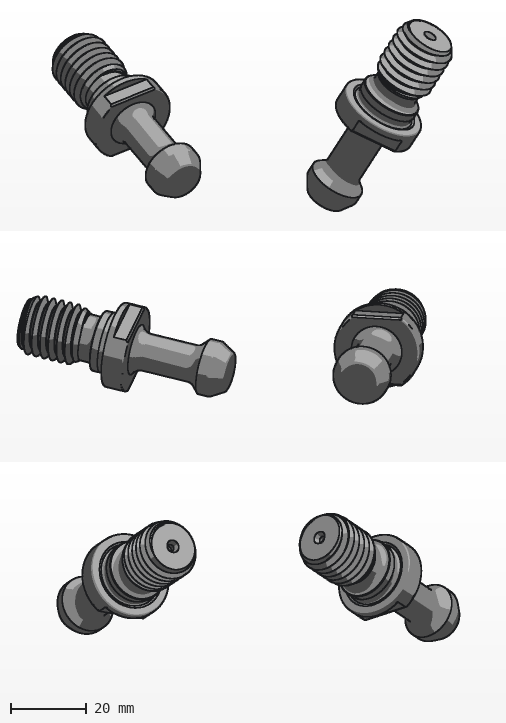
import cadquery as cq
import math

length = 57.15

thread_radius = 8.05
root_radius = 6.3
thread_end = 17.25
five_turns = 11.55
pitch = five_turns / 5
first_crest = 1.15
crest_half_width = 0.03
flank_angle = math.radians(30)
runout_slope = math.tan(math.radians(32))
start_land = 0.2
root_overlap = 0.1

relief_end = 19.2
collar_start = 20.75
collar_radius = 8.2
collar_edge = 0.2
collar_end = 23.0
groove_start = 24.0
groove_radius = 7.9
groove_fillet = 3.7

flange_start = 25.05
flange_end = 31.05
flange_middle = (flange_start + flange_end) / 2
flange_radius = 11.5
flange_edge = 0.5
recess_radius = 9.2
recess_floor_radius = 8.6
recess_depth = 0.25
undercut_start = 24.7
flat_start = 27.0
flat_distance = 9.5

neck_radius = 5.05
neck_start = 34.1
neck_flare_radius = 6.8
neck_end = 46.7
head_fillet = 2.7
head_start = 50.3
head_radius = 7.55
head_cylinder_end = 53.25
head_tip_radius = 5.3
shoulder_fillet = 0.85
tip_fillet = 0.8

center_radius = 1.7
drill_radius = 0.9
drill_end = 2.85
countersink_angle = math.radians(30)
drill_tip_angle = math.radians(59)


def arc_through(start, end, radius, side):
    """Midpoint of the arc from start to end; side = 1 bulges left of the chord, -1 right."""
    dx = end[0] - start[0]
    dr = end[1] - start[1]
    chord = math.hypot(dx, dr)
    rise = radius - math.sqrt(radius**2 - (chord / 2)**2)
    mid_x = (start[0] + end[0]) / 2 - side * rise * dr / chord
    mid_r = (start[1] + end[1]) / 2 + side * rise * dx / chord
    return mid_x, mid_r


def turn(profile):
    return profile.close().revolve(360, (0, 0, 0), (1, 0, 0))


def make_thread():
    """Right-handed V ridge, trimmed by an envelope that tapers at both ends."""
    inner_radius = root_radius - root_overlap
    half_base = crest_half_width + (thread_radius - inner_radius) * math.tan(flank_angle)
    helix_start = first_crest - 2 * pitch
    helix_length = thread_end - helix_start + pitch
    path = cq.Wire.makeHelix(pitch, helix_length, root_radius)
    ridge = (
        cq.Workplane("XZ")
        .polyline([
            (inner_radius, -half_base),
            (thread_radius, -crest_half_width),
            (thread_radius, crest_half_width),
            (inner_radius, half_base),
        ])
        .close()
        .sweep(cq.Workplane(path), isFrenet=True)
        .rotate((0, 0, 0), (1, 1, 1), 120)
        .translate((helix_start, 0, 0))
    )
    crest_limit = thread_radius + root_overlap
    start_taper = (crest_limit - root_radius - start_land) / runout_slope
    end_taper = (crest_limit - inner_radius + root_overlap) / runout_slope
    envelope = turn(cq.Workplane("XY").polyline([
        (0, 0),
        (0, root_radius + start_land),
        (start_taper, crest_limit),
        (thread_end - end_taper, crest_limit),
        (thread_end, inner_radius - root_overlap),
        (thread_end, 0),
    ]))
    return ridge.intersect(envelope)


def make_shank():
    """Thread core, relief, collar and the groove that runs into the flange face."""
    collar_corner = (collar_start, collar_radius - collar_edge)
    relief_corner = (relief_end, root_radius)
    relief_fillet = collar_corner[1] - root_radius
    collar_corner_end = (collar_end, collar_radius)
    groove_corner = (groove_start, groove_radius)
    undercut_corner = (undercut_start, groove_radius)
    floor_corner = (flange_start + recess_depth, recess_floor_radius)
    undercut_fillet = recess_floor_radius - groove_radius
    profile = (
        cq.Workplane("XY")
        .moveTo(0, 0)
        .lineTo(0, root_radius)
        .lineTo(*relief_corner)
        .threePointArc(arc_through(relief_corner, collar_corner, relief_fillet, -1), collar_corner)
        .lineTo(collar_start + collar_edge, collar_radius)
        .lineTo(*collar_corner_end)
        .threePointArc(
            arc_through(collar_corner_end, groove_corner, groove_fillet, -1), groove_corner
        )
        .lineTo(*undercut_corner)
        .threePointArc(arc_through(undercut_corner, floor_corner, undercut_fillet, -1), floor_corner)
        .lineTo(flange_middle, recess_floor_radius)
        .lineTo(flange_middle, 0)
    )
    return turn(profile)


def make_flange():
    thickness = flange_end - flange_start
    flange = cq.Workplane("YZ", origin=(flange_start, 0, 0)).circle(flange_radius).extrude(thickness)
    flange = flange.edges("%CIRCLE").fillet(flange_edge)
    for side in (-1, 1):
        waste = (
            cq.Workplane("XZ")
            .polyline([
                (flat_start, side * flange_radius),
                (flat_start, side * flat_distance),
                (flange_end - flange_edge, side * flat_distance),
                (flange_end, side * (flat_distance - flange_edge)),
                (flange_end, side * flange_radius),
            ])
            .close()
            .extrude(flange_radius, both=True)
        )
        flange = flange.cut(waste)
    recess = turn(cq.Workplane("XY").polyline([
        (flange_start, 0),
        (flange_start, recess_radius),
        (flange_start + recess_depth, recess_floor_radius),
        (flange_start + recess_depth, 0),
    ]))
    return flange.cut(recess)


def make_neck_and_head():
    flare_run = neck_start - flange_end
    flare_rise = neck_flare_radius - neck_radius
    flare_fillet = (flare_run**2 + flare_rise**2) / (2 * flare_rise)
    flare_corner = (flange_end, neck_flare_radius)
    neck_corner = (neck_start, neck_radius)
    quarter = math.sin(math.radians(45))
    cone_start = (neck_end + head_fillet * quarter, neck_radius + head_fillet * (1 - quarter))
    neck_end_corner = (neck_end, neck_radius)
    profile = (
        cq.Workplane("XY")
        .moveTo(flat_start, 0)
        .lineTo(flat_start, neck_flare_radius)
        .lineTo(*flare_corner)
        .threePointArc(arc_through(flare_corner, neck_corner, flare_fillet, -1), neck_corner)
        .lineTo(*neck_end_corner)
        .threePointArc(arc_through(neck_end_corner, cone_start, head_fillet, -1), cone_start)
        .lineTo(head_start, head_radius)
        .lineTo(head_cylinder_end, head_radius)
        .lineTo(length, head_tip_radius)
        .lineTo(length, 0)
    )
    body = turn(profile)
    body = body.faces(">X").edges().fillet(tip_fillet)
    widest_circles = body.edges("%CIRCLE").edges(cq.selectors.RadiusNthSelector(-1))
    return widest_circles.edges(">X").fillet(shoulder_fillet)


def make_center_hole():
    countersink_depth = (center_radius - drill_radius) / math.tan(countersink_angle)
    drill_tip = drill_end + drill_radius / math.tan(drill_tip_angle)
    return turn(cq.Workplane("XY").polyline([
        (0, 0),
        (0, center_radius),
        (countersink_depth, drill_radius),
        (drill_end, drill_radius),
        (drill_tip, 0),
    ]))


body = make_shank().union(make_flange()).union(make_neck_and_head())
body = body.union(make_thread())
result = body.cut(make_center_hole())